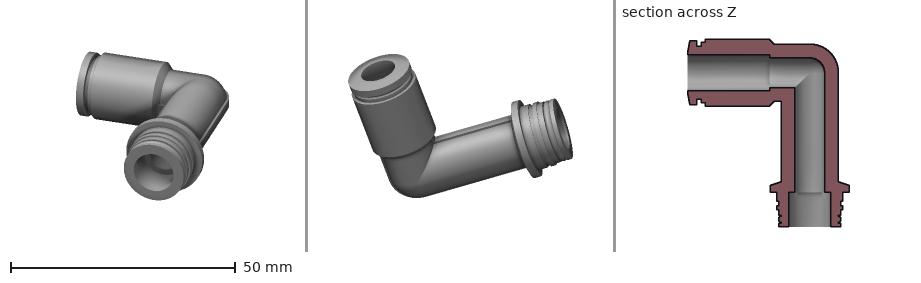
import cadquery as cq


overall_x = 36.05
overall_y = 41.8

neck_diameter = 12.0
web_width = 12.87
web_thickness = 2.15

body_diameter = 15.0
body_start = 8.95
body_end = 23.3
body_taper_start = 7.52
step_diameter = 13.6
step_end = 24.2
collar_diameter = 14.4
collar_start = 25.12
collar_face_diameter = 9.3
collar_face_drop = 0.45

flange_diameter = 17.7
flange_taper_start = 24.08
flange_start = 25.05
flange_end = 26.6
land_diameter = 14.7
upper_land_end = 28.6
lower_land_start = 29.55
lower_land_end = 30.5
spigot_diameter = 14.0
ring_start = 31.75
ring_end = 33.4

passage_diameter = 6.5
socket_bore_diameter = 8.0
socket_bore_floor = body_start
plug_bore_diameter = 9.3
plug_bore_floor = flange_end

socket_reach = overall_x - flange_diameter / 2
plug_reach = overall_y - body_diameter / 2
ring_radius = (ring_end - ring_start) / 2
ring_center_radius = spigot_diameter / 2 - ring_radius
web_reach = web_width / 2


def socket_solid():
    """Neck, body, step, groove and collar turned about the X axis."""
    collar_edge = socket_reach - collar_face_drop
    stations = [
        (0, neck_diameter),
        (body_taper_start, neck_diameter),
        (body_start, body_diameter),
        (body_end, body_diameter),
        (body_end, step_diameter),
        (step_end, step_diameter),
        (step_end, neck_diameter),
        (collar_start, neck_diameter),
        (collar_start, collar_diameter),
        (collar_edge, collar_diameter),
        (socket_reach, collar_face_diameter),
        (socket_reach, 0),
    ]
    profile = cq.Workplane("XY").moveTo(0, 0)
    for distance, diameter in stations:
        profile = profile.lineTo(-distance, diameter / 2)
    return profile.close().revolve(360, (0, 0, 0), (1, 0, 0))


def plug_solid():
    """Neck, flange, lands and sealing ring turned about the Y axis."""
    stations_above_ring = [
        (0, neck_diameter),
        (flange_taper_start, neck_diameter),
        (flange_start, flange_diameter),
        (flange_end, flange_diameter),
        (flange_end, land_diameter),
        (upper_land_end, land_diameter),
        (upper_land_end, spigot_diameter),
        (lower_land_start, spigot_diameter),
        (lower_land_start, land_diameter),
        (lower_land_end, land_diameter),
        (lower_land_end, spigot_diameter),
        (ring_start, spigot_diameter),
        (ring_start, 2 * ring_center_radius),
    ]
    profile = cq.Workplane("XY").moveTo(0, 0)
    for distance, diameter in stations_above_ring:
        profile = profile.lineTo(diameter / 2, -distance)
    profile = (
        profile.threePointArc(
            (spigot_diameter / 2, -(ring_start + ring_radius)),
            (ring_center_radius, -ring_end),
        )
        .lineTo(spigot_diameter / 2, -ring_end)
        .lineTo(spigot_diameter / 2, -plug_reach)
        .lineTo(0, -plug_reach)
        .close()
    )
    return profile.revolve(360, (0, 0, 0), (0, 1, 0))


def web_solid():
    """Flat L-shaped web, slightly wider than the neck, with a round outer corner."""
    corner = cq.Workplane("XY").circle(web_reach).extrude(web_thickness / 2, both=True)
    socket_arm = cq.Workplane("XY").box(
        body_start, web_width, web_thickness
    ).translate((-body_start / 2, 0, 0))
    plug_arm = cq.Workplane("XY").box(
        web_width, flange_start, web_thickness
    ).translate((0, -flange_start / 2, 0))
    return corner.union(socket_arm).union(plug_arm)


def bore(plane, diameter, start, end):
    """Cylinder along the normal of the plane, between two distances from the elbow centre."""
    return cq.Workplane(plane).workplane(offset=start).circle(diameter / 2).extrude(end - start)


socket_plane = cq.Plane(origin=(0, 0, 0), xDir=(0, 1, 0), normal=(-1, 0, 0))
plug_plane = cq.Plane(origin=(0, 0, 0), xDir=(1, 0, 0), normal=(0, -1, 0))

outside = (
    cq.Workplane("XY")
    .sphere(neck_diameter / 2)
    .union(socket_solid())
    .union(plug_solid())
    .union(web_solid())
)
passage = (
    cq.Workplane("XY")
    .sphere(passage_diameter / 2)
    .union(bore(socket_plane, passage_diameter, 0, socket_reach))
    .union(bore(plug_plane, passage_diameter, 0, plug_reach))
)

result = (
    outside
    .cut(passage)
    .cut(bore(socket_plane, socket_bore_diameter, socket_bore_floor, socket_reach))
    .cut(bore(plug_plane, plug_bore_diameter, plug_bore_floor, plug_reach))
)